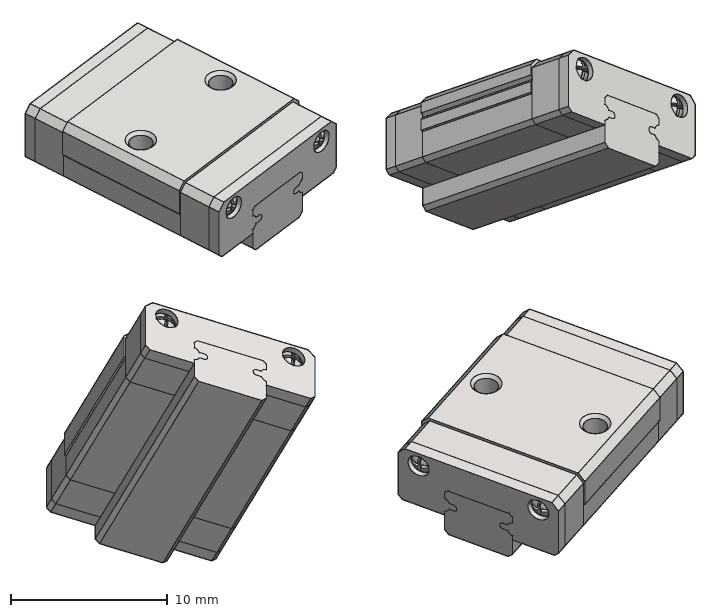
import cadquery as cq
import math

LENGTH = 16.0
BLOCK_WIDTH = 12.0
TOP_Z = 6.0

SEAL_LENGTH = 0.83
BLOCK_LENGTH = 9.63
CAP_LENGTH = (LENGTH - BLOCK_LENGTH) / 2 - SEAL_LENGTH

END_WIDTH = 11.78
END_TOP_Z = 5.8
CARRIAGE_BOTTOM_Z = 1.5
TOP_CHAMFER = 0.5
BOTTOM_CHAMFER = 0.3
BLOCK_STEP_Z = 3.6
OVERHANG_DROP = 0.06

REFERENCE_GROOVE_Z = 4.56
REFERENCE_GROOVE_DEPTH = 0.22

MOUNT_SPACING = 8.0
MOUNT_DIAMETER = 1.55
MOUNT_DEPTH = 1.5
MOUNT_CHAMFER = 0.22
DRILL_TIP_ANGLE = 118.0

RAIL_WIDTH = 5.0
RAIL_TOP_Z = 3.6
RAIL_TOP_CHAMFER = 0.22
RAIL_BOTTOM_CHAMFER = 0.3
RACEWAY_Z = 2.37
RACEWAY_RADIUS = 0.58
RACEWAY_AXIS_OFFSET = 0.18
RELIEF_DEPTH = 0.91
RELIEF_WIDTH = 0.48

SCREW_SPACING = 8.8
SCREW_Z = 4.78
SCREW_DIAMETER = 1.54
SCREW_RIM_DEPTH = 0.4
SCREW_DOME_HEIGHT = 0.37
SCREW_SLOT_WIDTH = 0.2
SCREW_SLOT_DEPTH = 0.34


def along_x(profile, x_start, length):
    """Extrude a (Y, Z) profile along +X."""
    return profile.extrude(length).translate((x_start, 0, 0))


def profile_plane():
    return cq.Workplane("YZ")


def box_between(x_start, length, width, z_bottom, z_top):
    """Box centred on Y, between two heights."""
    return (
        cq.Workplane("XY")
        .box(length, width, z_top - z_bottom, centered=(False, True, False))
        .translate((x_start, 0, z_bottom))
    )


def make_rail():
    rail = box_between(-LENGTH / 2, LENGTH, RAIL_WIDTH, 0, RAIL_TOP_Z)
    rail = rail.edges("|X and >Z").chamfer(RAIL_TOP_CHAMFER)
    rail = rail.edges("|X and <Z").chamfer(RAIL_BOTTOM_CHAMFER)
    for side in (-1, 1):
        side_y = side * RAIL_WIDTH / 2
        raceway = along_x(
            profile_plane()
            .center(side_y + side * RACEWAY_AXIS_OFFSET, RACEWAY_Z)
            .circle(RACEWAY_RADIUS),
            -LENGTH / 2,
            LENGTH,
        )
        relief = along_x(
            profile_plane().center(side_y, RACEWAY_Z).slot2D(2 * RELIEF_DEPTH, RELIEF_WIDTH),
            -LENGTH / 2,
            LENGTH,
        )
        rail = rail.cut(raceway).cut(relief)
    return rail


def make_end_piece(rail, x_start, length):
    """Chamfered slab that fits around the rail."""
    piece = box_between(x_start, length, END_WIDTH, CARRIAGE_BOTTOM_Z, END_TOP_Z)
    piece = piece.edges("|X and >Z").chamfer(TOP_CHAMFER)
    piece = piece.edges("|X and <Z").chamfer(BOTTOM_CHAMFER)
    return piece.cut(rail)


def make_mounting_hole():
    """Chamfered blind hole with a drill tip, opening upward at the block top."""
    radius = MOUNT_DIAMETER / 2
    tip = radius / math.tan(math.radians(DRILL_TIP_ANGLE / 2))
    return (
        cq.Workplane("XZ")
        .polyline(
            [
                (0, TOP_Z),
                (radius + MOUNT_CHAMFER, TOP_Z),
                (radius, TOP_Z - MOUNT_CHAMFER),
                (radius, TOP_Z - MOUNT_DEPTH),
                (0, TOP_Z - MOUNT_DEPTH - tip),
            ]
        )
        .close()
        .revolve(360, (0, 0, 0), (0, 1, 0))
    )


def make_block(rail):
    x_start = -BLOCK_LENGTH / 2
    side_y = BLOCK_WIDTH / 2
    lower_y = END_WIDTH / 2
    right_half = [
        (0, CARRIAGE_BOTTOM_Z),
        (lower_y - BOTTOM_CHAMFER, CARRIAGE_BOTTOM_Z),
        (lower_y, CARRIAGE_BOTTOM_Z + BOTTOM_CHAMFER),
        (lower_y, BLOCK_STEP_Z - OVERHANG_DROP),
        (side_y, BLOCK_STEP_Z),
        (side_y, TOP_Z - TOP_CHAMFER),
        (side_y - TOP_CHAMFER, TOP_Z),
        (0, TOP_Z),
    ]
    outline = profile_plane().polyline(right_half).mirrorY()
    block = along_x(outline, x_start, BLOCK_LENGTH).cut(rail)

    groove = along_x(
        profile_plane()
        .polyline(
            [
                (side_y, REFERENCE_GROOVE_Z + REFERENCE_GROOVE_DEPTH),
                (side_y - REFERENCE_GROOVE_DEPTH, REFERENCE_GROOVE_Z),
                (side_y, REFERENCE_GROOVE_Z - REFERENCE_GROOVE_DEPTH),
            ]
        )
        .close(),
        x_start,
        BLOCK_LENGTH,
    )
    block = block.cut(groove)
    for side in (-1, 1):
        block = block.cut(make_mounting_hole().translate((0, side * MOUNT_SPACING / 2, 0)))
    return block


def make_left_seal(rail):
    """End seal at -X, with a through hole for each screw head."""
    holes = along_x(
        profile_plane()
        .center(0, SCREW_Z)
        .rarray(SCREW_SPACING, 0.16, 2, 1)
        .circle(SCREW_DIAMETER / 2),
        -LENGTH / 2,
        SEAL_LENGTH,
    )
    return make_end_piece(rail, -LENGTH / 2, SEAL_LENGTH).cut(holes)


def make_left_screw(side):
    """Domed, cross-slotted screw head sunk in the -X seal, on the given Y side."""
    radius = SCREW_DIAMETER / 2
    rim = SEAL_LENGTH - SCREW_RIM_DEPTH
    apex = rim + SCREW_DOME_HEIGHT
    sphere_radius = (radius**2 + SCREW_DOME_HEIGHT**2) / (2 * SCREW_DOME_HEIGHT)
    half_angle = math.asin(radius / sphere_radius) / 2
    dome_middle = (
        sphere_radius * math.sin(half_angle),
        apex - sphere_radius * (1 - math.cos(half_angle)),
    )
    head = (
        cq.Workplane("XZ")
        .moveTo(0, 0)
        .lineTo(radius, 0)
        .lineTo(radius, rim)
        .threePointArc(dome_middle, (0, apex))
        .close()
        .revolve(360, (0, 0, 0), (0, 1, 0))
    )
    slot = cq.Workplane("XY").box(
        SCREW_DIAMETER, SCREW_SLOT_WIDTH, SCREW_SLOT_DEPTH, centered=(True, True, False)
    )
    slot = slot.translate((0, 0, apex - SCREW_SLOT_DEPTH))
    head = head.cut(slot).cut(slot.rotate((0, 0, 0), (0, 0, 1), 90))
    head = head.rotate((0, 0, 0), (0, 1, 0), -90)
    return head.translate((SEAL_LENGTH - LENGTH / 2, side * SCREW_SPACING / 2, SCREW_Z))


def both_ends(left_body):
    """The -X body and its mirror image at the +X end."""
    return [left_body.val(), left_body.mirror("YZ").val()]


rail = make_rail()
block = make_block(rail)
end_caps = both_ends(make_end_piece(rail, SEAL_LENGTH - LENGTH / 2, CAP_LENGTH))
end_seals = both_ends(make_left_seal(rail))
screws = []
for side in (-1, 1):
    screws += both_ends(make_left_screw(side))

result = cq.Compound.makeCompound([rail.val(), block.val(), *end_caps, *end_seals, *screws])